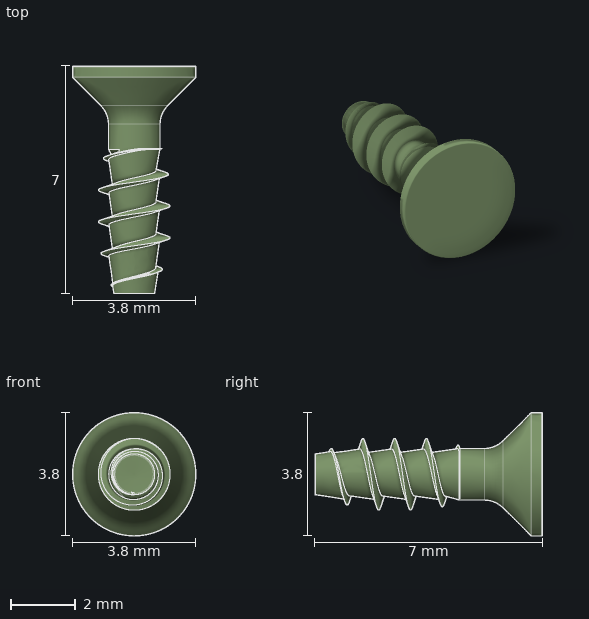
import cadquery as cq
import math


total_length = 7.0
head_diameter = 3.8
head_radius = head_diameter / 2
rim_height = 0.35
rim_rounding = 0.03
shank_radius = 0.8
neck_fillet_radius = 0.81
head_half_angle = math.radians(45)

tip_radius = 0.63
tip_slope = 0.16
dish_radius = 0.59
dish_depth = 0.035

pitch = 0.98
thread_top = 4.46
crest_height_at_zero = 0.49
crest_radius = 1.105
flank_slope = 0.3
thread_root_radius = 0.56
thread_start_turn = -0.5
thread_end_turn = 4.5
fade_turns = 1.5

ramp_wide_radius = 0.79
ramp_narrow_radius = 0.66
groove_outer_radius = 0.98
groove_start_turn = 0.5
groove_end_turn = 4.9
land_half_width = 0.03

sections_per_turn = 12


def crest_y(turn):
    """Height of the crest, levelling out below the shank."""
    return min(crest_height_at_zero + pitch * turn, thread_top)


def crest_r(turn):
    """Crest radius: rises from the tip, stays full, then sinks into the shank."""
    rise = (turn - thread_start_turn) / fade_turns
    fall = (thread_end_turn - turn) / fade_turns
    rising = tip_radius + (crest_radius - tip_radius) * rise
    falling = shank_radius + (crest_radius - shank_radius) * fall
    return min(rising, crest_radius, falling)


def thread_section(turn):
    """Pointed ridge with its base buried in the core."""
    half_width = flank_slope * (crest_r(turn) - thread_root_radius)
    middle = crest_y(turn)
    return [
        (thread_root_radius, middle - half_width),
        (crest_r(turn), middle),
        (thread_root_radius, middle + half_width),
    ]


def groove_section(turn):
    """Cutter whose inner side is the ramp between two neighbouring crests."""
    wide_end = crest_y(turn) - land_half_width
    narrow_end = crest_y(turn - 1) + land_half_width
    return [
        (ramp_narrow_radius, narrow_end),
        (groove_outer_radius, narrow_end),
        (groove_outer_radius, wide_end),
        (ramp_wide_radius, wide_end),
    ]


def helical_solid(section, first_turn, last_turn):
    """Loft (radius, Y) sections placed around the Y axis from +Z towards +X."""
    steps = math.ceil((last_turn - first_turn) * sections_per_turn)
    wires = []
    for step in range(steps + 1):
        turn = first_turn + (last_turn - first_turn) * step / steps
        angle = 2 * math.pi * turn
        corners = [
            cq.Vector(r * math.sin(angle), y, r * math.cos(angle))
            for r, y in section(turn)
        ]
        wires.append(cq.Wire.makePolygon(corners, close=True))
    return cq.Workplane(obj=cq.Solid.makeLoft(wires))


def screw_blank():
    """Turned body with head, neck fillet, shank and dished tip."""
    fillet_drop = neck_fillet_radius * (1 - math.cos(head_half_angle))
    fillet_rise = neck_fillet_radius * math.sin(head_half_angle)
    neck_radius = shank_radius + fillet_drop
    rim_bottom = total_length - rim_height
    neck_top = rim_bottom - (head_radius - neck_radius) / math.tan(head_half_angle)
    neck_bottom = neck_top - fillet_rise
    half_angle = head_half_angle / 2
    fillet_mid = (
        shank_radius + neck_fillet_radius * (1 - math.cos(half_angle)),
        neck_bottom + neck_fillet_radius * math.sin(half_angle),
    )
    cone_top = (shank_radius - tip_radius) / tip_slope
    return (
        cq.Workplane("XY")
        .moveTo(0, dish_depth)
        .lineTo(dish_radius, 0)
        .lineTo(tip_radius, 0)
        .lineTo(shank_radius, cone_top)
        .lineTo(shank_radius, neck_bottom)
        .threePointArc(fillet_mid, (neck_radius, neck_top))
        .lineTo(head_radius, rim_bottom)
        .lineTo(head_radius, total_length)
        .lineTo(0, total_length)
        .close()
        .revolve(360, (0, 0, 0), (0, 1, 0))
        .edges(cq.selectors.RadiusNthSelector(-1))
        .fillet(rim_rounding)
    )


def thread_zone():
    """Cylinder that limits the thread to the length between tip and shank."""
    return cq.Workplane("XZ").circle(2 * crest_radius).extrude(-thread_top)


groove = helical_solid(groove_section, groove_start_turn, groove_end_turn)
thread = helical_solid(thread_section, thread_start_turn, thread_end_turn)

result = screw_blank().cut(groove).union(thread.intersect(thread_zone()))